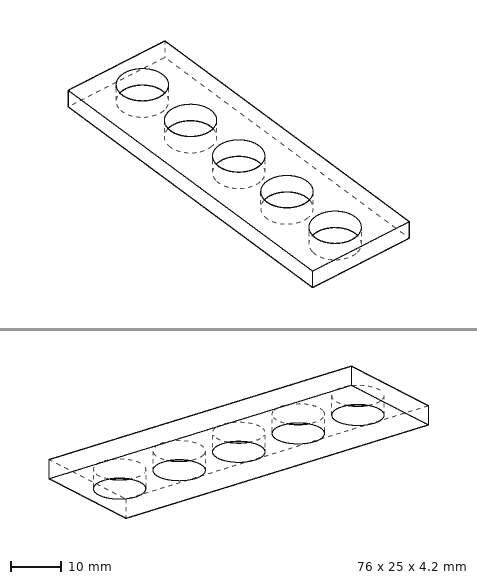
import cadquery as cq

length = 76.0
width = 25.0
thickness = 4.2

hole_count = 5
hole_diameter = 10.4
hole_pitch = 15.0

plate = cq.Workplane("XY").box(length, width, thickness)

result = (
    plate.faces(">Z")
    .workplane()
    .rarray(hole_pitch, width, hole_count, 1)
    .hole(hole_diameter)
)